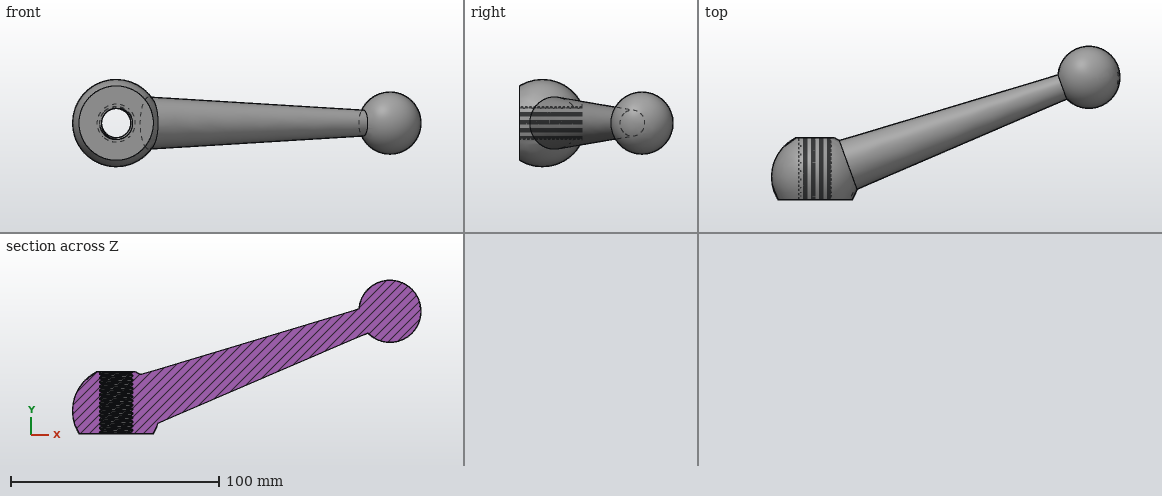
import cadquery as cq
import math

hub_diameter = 42.0
hub_front = 11.0
hub_width = 30.0

knob_diameter = 30.0
overall_length = 167.5
arm_angle = 20.0
arm_root_diameter = 25.1
arm_tip_diameter = 12.5

thread_minor_diameter = 13.9
thread_major_diameter = 16.0
thread_pitch = 2.0
groove_mouth = 0.9 * thread_pitch
groove_root = 0.25 * thread_pitch
groove_start_angle = 40.0
groove_overlap = 0.2

hub_radius = hub_diameter / 2
knob_radius = knob_diameter / 2
knob_x = overall_length - hub_radius - knob_radius
knob_y = knob_x * math.tan(math.radians(arm_angle))
centre_distance = math.hypot(knob_x, knob_y)


def make_slab():
    slab = cq.Workplane("XY").box(hub_diameter, hub_width, hub_diameter)
    return slab.translate((0, hub_width / 2 - hub_front, 0))


def make_hub():
    return cq.Workplane("XY").sphere(hub_radius).intersect(make_slab())


def make_arm():
    root = math.sqrt(hub_radius**2 - (arm_root_diameter / 2) ** 2)
    tip = centre_distance - math.sqrt(knob_radius**2 - (arm_tip_diameter / 2) ** 2)
    taper = (arm_root_diameter - arm_tip_diameter) / 2 / (tip - root)
    buried = 3.4
    start_radius = arm_root_diameter / 2 + taper * buried
    end_radius = arm_tip_diameter / 2 - taper * buried
    start = root - buried
    cone = cq.Solid.makeCone(
        start_radius,
        end_radius,
        tip + buried - start,
        cq.Vector(start, 0, 0),
        cq.Vector(1, 0, 0),
    )
    return cq.Workplane(cone).rotate((0, 0, 0), (0, 0, 1), arm_angle)


def make_bore():
    return (
        cq.Workplane("XZ", origin=(0, -hub_front, 0))
        .circle(thread_minor_diameter / 2)
        .extrude(-hub_width)
    )


def make_thread_groove():
    inner = thread_minor_diameter / 2 - groove_overlap
    major = thread_major_diameter / 2
    helix = cq.Wire.makeHelix(thread_pitch, hub_width + 2 * thread_pitch, inner)
    groove = (
        cq.Workplane("XZ")
        .moveTo(inner, -groove_mouth / 2)
        .lineTo(major, -groove_root / 2)
        .lineTo(major, groove_root / 2)
        .lineTo(inner, groove_mouth / 2)
        .close()
        .sweep(cq.Workplane(helix), isFrenet=True)
    )
    groove = groove.rotate((0, 0, 0), (0, 0, 1), groove_start_angle)
    groove = groove.rotate((0, 0, 0), (1, 0, 0), -90)
    groove = groove.translate((0, -hub_front - thread_pitch, 0))
    return groove.intersect(make_slab())


knob = cq.Workplane("XY").sphere(knob_radius).translate((knob_x, knob_y, 0))
body = make_hub().union(make_arm()).union(knob)
result = body.cut(make_bore()).cut(make_thread_groove()).solids()